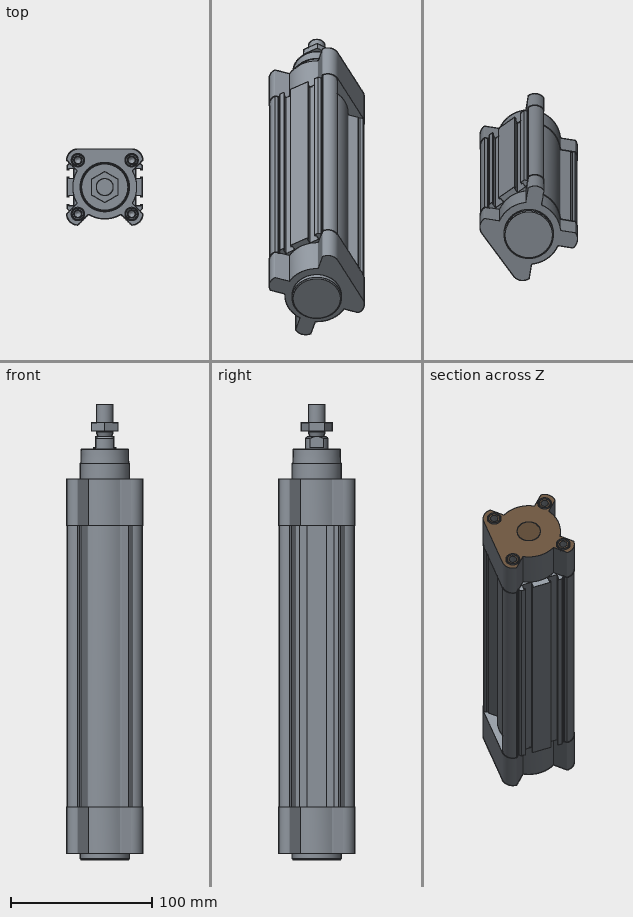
import cadquery as cq
import math

total_height = 321.9
width = 54.0
half_width = width / 2
body_length = 265.0
cap_height = 33.0
spigot_height = 4.3
spigot_diameter = 35.0
spigot_chamfer = 0.8

screw_pitch = 38.0
lobe_centre = screw_pitch / 2
lobe_radius = half_width - lobe_centre
barrel_radius = 22.6
junction_fillet = 1.0
arm_edge_fillet = 0.5
tube_inset = 0.35

boss_lower_diameter = 35.0
boss_lower_height = 10.7
boss_upper_base_diameter = 34.0
boss_upper_top_diameter = 33.6
boss_height = 21.0
boss_chamfer = 0.5

recess_diameter = 9.5
recess_depth = 5.0
screw_head_diameter = 8.0
screw_head_drop = 1.0
thread_mouth_diameter = 6.0
thread_diameter = 4.92
thread_depth = 12.0
drill_point_half_angle = 59.0

slot_start = 7.0
slot_end = 12.2
slot_undercut = 0.9
lip_thickness = 1.6
slot_floor = 22.0
lip_end = 15.2
lip_bevel = 1.5
lobe_edge = 17.7
lobe_step = 24.2
ledge_end = 16.2

rod_diameter = 16.0
rod_flat_width = 13.0
rod_flat_gap = 1.0
rod_chamfer = 1.3
rod_depth = 33.0
thread_length = 22.8
stud_diameter = 12.0
stud_tip_diameter = 10.65
stud_tip_chamfer = 0.1
neck_diameter = 10.2
neck_length = 0.4
neck_taper = 2.8

nut_across_flats = 19.0
nut_height = 6.0
nut_drop = 12.9

body_bottom = spigot_height
body_top = body_bottom + body_length
boss_top = body_top + boss_height
shoulder = total_height - thread_length
rod_bottom = body_top - rod_depth


def disc(diameter, bottom, height):
    return cq.Workplane("XY").workplane(offset=bottom).circle(diameter / 2).extrude(height)


def prism(points, bottom, height):
    return cq.Workplane("XY").workplane(offset=bottom).polyline(points).close().extrude(height)


def block(x_range, y_range, bottom, height):
    x0, x1 = x_range
    y0, y1 = y_range
    return prism([(x0, y0), (x1, y0), (x1, y1), (x0, y1)], bottom, height)


def lobed_barrel(bottom, height, inset=0.0):
    """Round barrel with four diagonal arms, each ending in an arc about a cap screw."""
    arm_half_width = lobe_radius / math.sqrt(2) - inset
    arc_radius = lobe_radius - inset
    barrel_diameter = 2 * (barrel_radius - inset)
    lobe_distance = lobe_centre * math.sqrt(2)
    arc_start = lobe_distance + math.sqrt(arc_radius**2 - arm_half_width**2)
    arm = (
        cq.Workplane("XY")
        .workplane(offset=bottom)
        .moveTo(0, -arm_half_width)
        .lineTo(arc_start, -arm_half_width)
        .threePointArc((lobe_distance + arc_radius, 0), (arc_start, arm_half_width))
        .lineTo(0, arm_half_width)
        .close()
        .extrude(height)
    )
    barrel = disc(barrel_diameter, bottom, height)
    for quarter in range(4):
        barrel = barrel.union(arm.rotate((0, 0, 0), (0, 0, 1), 45 + 90 * quarter))
    junctions = [
        edge
        for edge in barrel.edges("|Z").vals()
        if math.hypot(edge.Center().x, edge.Center().y) < barrel_radius
    ]
    return barrel.newObject(junctions).fillet(junction_fillet)


def end_cap(bottom):
    """Lobed barrel filled out to a flat face on the +Y side, with its free lobe corners rounded."""
    flat_fill = block(
        (-lobe_centre, lobe_centre),
        (lobe_centre - lobe_radius, half_width),
        bottom,
        cap_height,
    )
    cap = lobed_barrel(bottom, cap_height).union(flat_fill)
    lobe_corners = [
        edge
        for edge in cap.edges("|Z").vals()
        if math.hypot(edge.Center().x, edge.Center().y) > lobe_centre * math.sqrt(2)
        and edge.Center().y < (lobe_centre + half_width) / 2
    ]
    return cap.newObject(lobe_corners).fillet(arm_edge_fillet)


def tube(bottom, height):
    """Lobed barrel with a ledge beside each lobe and T-slots in the -X and +X sides."""
    profile = lobed_barrel(bottom, height, tube_inset)
    ledge = (ledge_end, lobe_edge)
    beyond_ledge = (lobe_step, half_width)
    notch = block(ledge, beyond_ledge, bottom, height).union(block(beyond_ledge, ledge, bottom, height))
    notch = notch.union(notch.mirror("YZ"))
    notch = notch.union(notch.mirror("XZ"))
    profile = profile.cut(notch)

    face = half_width - tube_inset
    lip_back = half_width - lip_thickness
    floor_plate = block((0, slot_floor), (-ledge_end, ledge_end), bottom, height)
    pad_neck = block((0, lip_back), (slot_undercut - slot_start, slot_start - slot_undercut), bottom, height)
    pad_head = block((lip_back, face), (-slot_start, slot_start), bottom, height)
    lip = prism(
        [
            (lip_back, slot_end),
            (face, slot_end),
            (face, lip_end),
            (face - lip_bevel, lip_end + lip_bevel),
            (slot_floor, lip_end + lip_bevel),
            (slot_floor, slot_end + slot_undercut),
            (lip_back, slot_end + slot_undercut),
        ],
        bottom,
        height,
    )
    side = floor_plate.union(pad_neck).union(pad_head).union(lip).union(lip.mirror("XZ"))
    return profile.union(side).union(side.mirror("YZ"))


def front_boss():
    """Lower cylinder with a slightly tapered collar above it."""
    lower_top = body_top + boss_lower_height
    rim = boss_upper_top_diameter / 2
    return (
        cq.Workplane("XZ")
        .moveTo(0, body_top)
        .lineTo(boss_lower_diameter / 2, body_top)
        .lineTo(boss_lower_diameter / 2, lower_top)
        .lineTo(boss_upper_base_diameter / 2, lower_top)
        .lineTo(rim, boss_top - boss_chamfer)
        .lineTo(rim - boss_chamfer, boss_top)
        .lineTo(0, boss_top)
        .close()
        .revolve(360, (0, 0), (0, 1))
    )


def screw_recess():
    """Space around and inside one recessed cap screw, revolved about its own axis."""
    floor = body_top - recess_depth
    head_top = body_top - screw_head_drop
    mouth_run = (thread_mouth_diameter - thread_diameter) / 2
    thread_bottom = head_top - thread_depth
    drill_point = thread_diameter / 2 / math.tan(math.radians(drill_point_half_angle))
    return (
        cq.Workplane("XZ")
        .moveTo(0, body_top)
        .lineTo(recess_diameter / 2, body_top)
        .lineTo(recess_diameter / 2, floor)
        .lineTo(screw_head_diameter / 2, floor)
        .lineTo(screw_head_diameter / 2, head_top)
        .lineTo(thread_mouth_diameter / 2, head_top)
        .lineTo(thread_diameter / 2, head_top - mouth_run)
        .lineTo(thread_diameter / 2, thread_bottom)
        .lineTo(0, thread_bottom - drill_point)
        .close()
        .revolve(360, (0, 0), (0, 1))
    )


def make_housing():
    spigot = disc(spigot_diameter, 0, spigot_height).faces("<Z").chamfer(spigot_chamfer)
    housing = (
        end_cap(body_bottom)
        .union(tube(body_bottom + cap_height, body_length - 2 * cap_height))
        .union(end_cap(body_top - cap_height))
        .union(spigot)
        .union(front_boss())
    )
    for x in (-lobe_centre, lobe_centre):
        for y in (-lobe_centre, lobe_centre):
            housing = housing.cut(screw_recess().translate((x, y, 0)))
    return housing.cut(disc(rod_diameter, rod_bottom, boss_top - rod_bottom))


def make_piston_rod():
    rod = (
        cq.Workplane("XZ")
        .moveTo(0, rod_bottom)
        .lineTo(rod_diameter / 2, rod_bottom)
        .lineTo(rod_diameter / 2, shoulder - rod_chamfer)
        .lineTo(rod_diameter / 2 - rod_chamfer, shoulder)
        .lineTo(neck_diameter / 2, shoulder)
        .lineTo(neck_diameter / 2, shoulder + neck_length)
        .lineTo(stud_diameter / 2, shoulder + neck_length + neck_taper)
        .lineTo(stud_diameter / 2, total_height - stud_tip_chamfer)
        .lineTo(stud_tip_diameter / 2, total_height)
        .lineTo(0, total_height)
        .close()
        .revolve(360, (0, 0), (0, 1))
    )
    flat_bottom = boss_top + rod_flat_gap
    flat_height = shoulder - flat_bottom
    for near, far in ((rod_flat_width / 2, rod_diameter), (-rod_diameter, -rod_flat_width / 2)):
        rod = rod.cut(block((near, far), (-rod_diameter, rod_diameter), flat_bottom, flat_height))
    return rod


def make_lock_nut():
    across_corners = nut_across_flats / math.cos(math.radians(30))
    return (
        cq.Workplane("XY")
        .workplane(offset=total_height - nut_drop - nut_height)
        .transformed(rotate=(0, 0, 90))
        .polygon(6, across_corners)
        .circle(stud_diameter / 2)
        .extrude(nut_height)
    )


housing = make_housing()
piston_rod = make_piston_rod()
lock_nut = make_lock_nut()

bodies = [housing, piston_rod, lock_nut]
result = cq.Compound.makeCompound([body.solids().val() for body in bodies])